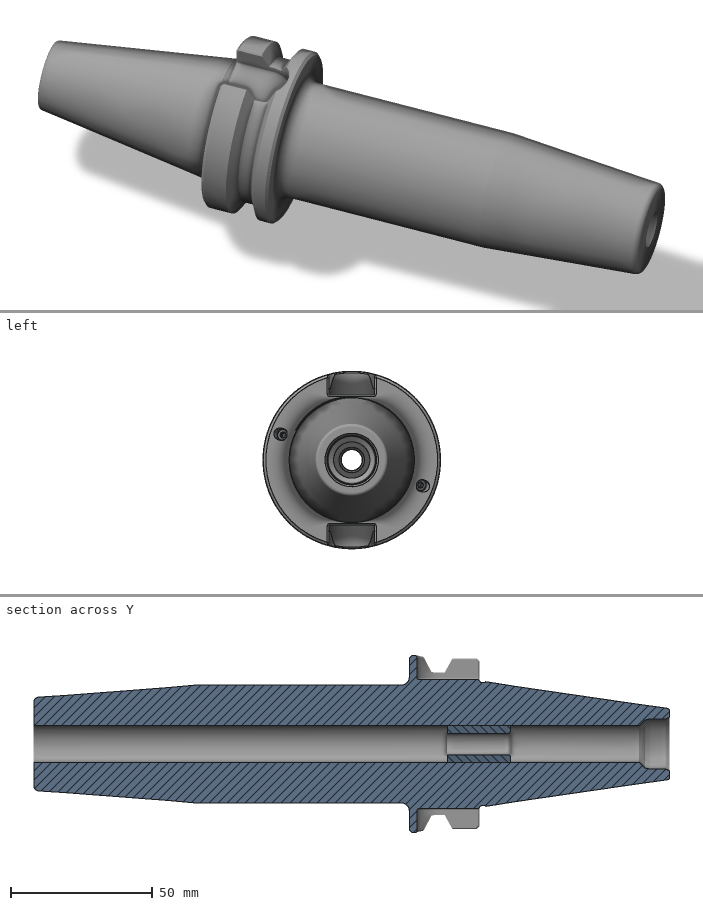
import cadquery as cq
import math

total_length = 225.5
gauge_x = 65.4
flange_front_x = 67.5
groove_start_x = 76.9
groove_end_x = 87.2
flange_back_x = 92.5
nose_start_x = 168.2

taper_small_d = 25.2
gauge_d = 44.5
neck_d = 44.0
flange_d = 63.0
groove_floor_d = 53.0
shank_d = 42.0
nose_end_d = 33.1
small_end_fillet = 1.1
nose_end_fillet = 2.0
neck_fillet = 0.56
shank_fillet = 2.7
flange_chamfer = 1.01
groove_flank_angle = 30.0

slot_half_width = 8.1
slot_floor_z = 23.0
slot_end_x = 89.5
slot_floor_fillet = 0.5
slot_chamfer = 0.56

mouth_d = 19.0
mouth_depth = 1.5
counterbore_d = 17.5
counterbore_depth = 7.2
lead_in_d = 17.0
lead_in_depth = 8.8
core_d = 12.8

adjuster_start_x = 56.4
adjuster_length = 22.5
adjuster_hole_d = 7.5
adjuster_hole_chamfer = 0.8

coolant_circle_r = 26.8
coolant_angle = 20.0
coolant_tilt = 25.0
coolant_hole_d = 4.3
coolant_recess = 2.0
coolant_screw_d = 4.0
coolant_screw_length = 5.6
socket_across_corners = 2.3
socket_depth = 1.8


def revolve_about_x(outline):
    return outline.close().revolve(360, (0, 0, 0), (1, 0, 0))


def make_body():
    """Taper, neck, flange disc, shank and nose, turned about X."""
    flange_r = flange_d / 2
    neck_r = neck_d / 2
    shank_r = shank_d / 2
    neck_end_x = flange_front_x - neck_fillet
    arc_inset = 1 - math.sqrt(0.5)
    neck_sag = neck_fillet * arc_inset
    shank_sag = shank_fillet * arc_inset
    outline = (
        cq.Workplane("XY")
        .lineTo(0, taper_small_d / 2)
        .lineTo(gauge_x, gauge_d / 2)
        .lineTo(gauge_x, neck_r)
        .lineTo(neck_end_x, neck_r)
        .threePointArc((flange_front_x - neck_sag, neck_r + neck_sag), (flange_front_x, neck_r + neck_fillet))
        .lineTo(flange_front_x, flange_r - flange_chamfer)
        .lineTo(flange_front_x + flange_chamfer, flange_r)
        .lineTo(flange_back_x - flange_chamfer, flange_r)
        .lineTo(flange_back_x, flange_r - flange_chamfer)
        .lineTo(flange_back_x, shank_r + shank_fillet)
        .threePointArc(
            (flange_back_x + shank_sag, shank_r + shank_sag),
            (flange_back_x + shank_fillet, shank_r),
        )
        .lineTo(nose_start_x, shank_r)
        .lineTo(total_length, nose_end_d / 2)
        .lineTo(total_length, 0)
    )
    body = revolve_about_x(outline)
    body = body.faces("<X").edges().fillet(small_end_fillet)
    return body.faces(">X").edges().fillet(nose_end_fillet)


def make_slot():
    """Round-ended cutter for the upper drive slot."""
    end_center_x = slot_end_x - slot_half_width
    slot = (
        cq.Workplane("XY", origin=(0, 0, slot_floor_z))
        .moveTo(gauge_x, -slot_half_width)
        .lineTo(end_center_x, -slot_half_width)
        .threePointArc((slot_end_x, 0), (end_center_x, slot_half_width))
        .lineTo(gauge_x, slot_half_width)
        .close()
        .extrude(flange_d)
    )
    return slot.faces("<Z").edges("not(<X)").fillet(slot_floor_fillet)


def is_slot_rim(edge):
    """True for the edges where the slot walls break through the front or the rim of the flange."""
    tolerance = 0.02
    box = edge.BoundingBox()
    in_slot = max(abs(box.ymin), abs(box.ymax)) < slot_half_width + tolerance
    in_flange = box.xmin > flange_front_x - tolerance and box.xmax < slot_end_x + tolerance
    at_front = box.xmax < flange_front_x + tolerance
    on_wall = min(abs(box.ymin), abs(box.ymax)) > slot_half_width - tolerance
    clear_of_floor = min(abs(box.zmin), abs(box.zmax)) > slot_floor_z + slot_floor_fillet + tolerance
    return in_slot and in_flange and (clear_of_floor or (at_front and on_wall))


def cut_slots(body):
    slot = make_slot()
    for angle in (0, 180):
        body = body.cut(slot.rotate((0, 0, 0), (1, 0, 0), angle))
    rim_edges = [edge for edge in body.edges().vals() if is_slot_rim(edge)]
    return body.newObject(rim_edges).chamfer(slot_chamfer)


def make_groove():
    """Ring with sloping flanks that cuts the gripper groove."""
    flange_r = flange_d / 2
    floor_r = groove_floor_d / 2
    flank_run = (flange_r - floor_r) * math.tan(math.radians(groove_flank_angle))
    outline = (
        cq.Workplane("XY")
        .moveTo(groove_start_x, flange_r)
        .lineTo(groove_start_x + flank_run, floor_r)
        .lineTo(groove_end_x - flank_run, floor_r)
        .lineTo(groove_end_x, flange_r)
    )
    return revolve_about_x(outline)


def make_bore():
    core_start_x = lead_in_depth + (lead_in_d - core_d) / 2
    outline = (
        cq.Workplane("XY")
        .lineTo(0, mouth_d / 2)
        .lineTo(mouth_depth, counterbore_d / 2)
        .lineTo(counterbore_depth, counterbore_d / 2)
        .lineTo(lead_in_depth, lead_in_d / 2)
        .lineTo(core_start_x, core_d / 2)
        .lineTo(total_length, core_d / 2)
        .lineTo(total_length, 0)
    )
    return revolve_about_x(outline)


def make_adjuster():
    inner_r = adjuster_hole_d / 2
    outer_r = core_d / 2
    end_x = adjuster_start_x + adjuster_length
    outline = (
        cq.Workplane("XY")
        .moveTo(adjuster_start_x, inner_r + adjuster_hole_chamfer)
        .lineTo(adjuster_start_x, outer_r)
        .lineTo(end_x, outer_r)
        .lineTo(end_x, inner_r)
        .lineTo(adjuster_start_x + adjuster_hole_chamfer, inner_r)
    )
    return revolve_about_x(outline)


def coolant_plane(position_angle, depth):
    """Plane across a coolant hole, at a depth along its axis from the flange face."""
    position = math.radians(position_angle)
    tilt = math.radians(coolant_tilt)
    outward = cq.Vector(0, math.cos(position), math.sin(position))
    axis = cq.Vector(math.cos(tilt), 0, 0) - outward * math.sin(tilt)
    origin = cq.Vector(flange_front_x, 0, 0) + outward * coolant_circle_r + axis * depth
    across = axis.cross(outward)
    return cq.Plane(origin=origin, xDir=across, normal=axis)


def make_coolant_hole(position_angle):
    mouth = (
        cq.Workplane(coolant_plane(position_angle, 0))
        .circle(coolant_hole_d / 2)
        .extrude(coolant_recess, both=True)
    )
    seat = (
        cq.Workplane(coolant_plane(position_angle, coolant_recess))
        .circle(coolant_screw_d / 2)
        .extrude(coolant_screw_length)
    )
    return mouth.union(seat)


def make_coolant_screw(position_angle):
    head_plane = coolant_plane(position_angle, coolant_recess)
    shaft = cq.Workplane(head_plane).circle(coolant_screw_d / 2).extrude(coolant_screw_length)
    socket = cq.Workplane(head_plane).polygon(6, socket_across_corners).extrude(socket_depth)
    return shaft.cut(socket)


coolant_angles = [coolant_angle, coolant_angle + 180]

holder = cut_slots(make_body())
holder = holder.cut(make_groove())
holder = holder.cut(make_bore())
for angle in coolant_angles:
    holder = holder.cut(make_coolant_hole(angle))

adjuster = make_adjuster()
coolant_screws = [make_coolant_screw(angle) for angle in coolant_angles]

result = cq.Compound.makeCompound(
    [holder.val(), adjuster.val(), *[screw.val() for screw in coolant_screws]]
)